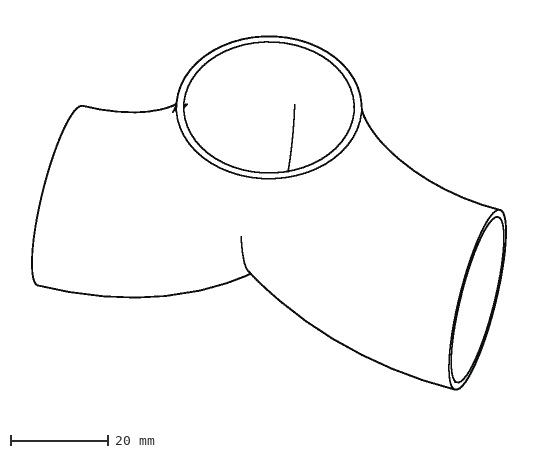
import cadquery as cq

total_length = 90.0
outer_diameter = 38.1
wall = 1.5

bend_radius = total_length / 2
outer_radius = outer_diameter / 2
inner_radius = outer_radius - wall
bend_angle = 90
block_size = 2 * total_length


def right_bend(tube_radius):
    """Solid bend from the top outlet (Z = 0) to the +X outlet, kept on the X >= 0 side."""
    bend = (
        cq.Workplane("XY")
        .circle(tube_radius)
        .revolve(bend_angle, (bend_radius, 0, 0), (bend_radius, -1, 0))
    )
    positive_half = cq.Workplane("XY").box(
        block_size, block_size, block_size, centered=(False, True, True)
    )
    return bend.intersect(positive_half)


def twin_bend(tube_radius):
    """Two mirrored bends joined on the X = 0 plane."""
    bend = right_bend(tube_radius)
    return bend.union(bend.mirror("YZ"))


result = twin_bend(outer_radius).cut(twin_bend(inner_radius))